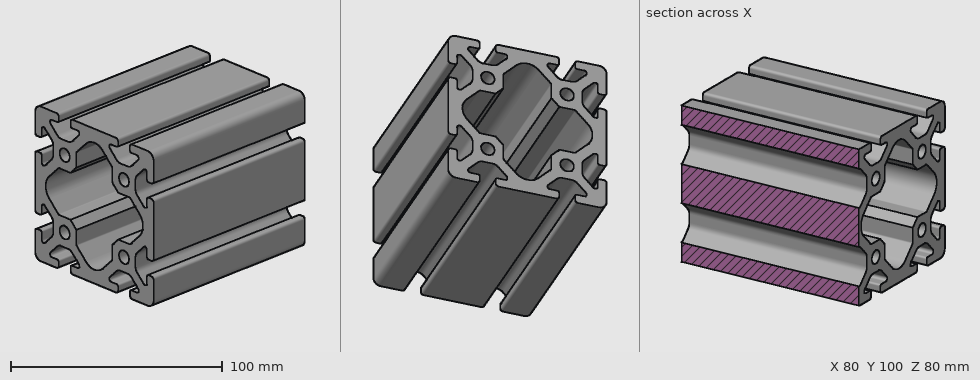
import math

import cadquery as cq

side = 80.0
length = 100.0
corner_radius = 4.0

slot_pitch = 40.0
hole_diameter = 6.8

mouth_width = 8.0
lip_thickness = 4.5
lip_radius = 1.0
mouth_radius = 1.5
slot_depth = 12.3
floor_width = 7.9
tip_radius = 1.3
floor_radius = 4.0

wall_thickness = 7.2
boss_width = 15.8
boss_chamfer = 4.0
peak_radius = 8.0
root_radius = 1.0

pick_margin = 0.01
half_side = side / 2
half_pitch = slot_pitch / 2
slot_offsets = (-half_pitch, half_pitch)


def extrude_outline(points):
    """Extrude a closed XZ outline over the full length along +Y."""
    return cq.Workplane("XZ").polyline(points).close().extrude(-length)


def round_edges(body, places, radius):
    """Round the lengthwise edges that pass through the given XZ places."""
    for x, z in places:
        picker = cq.selectors.BoxSelector(
            (x - pick_margin, -pick_margin, z - pick_margin),
            (x + pick_margin, length + pick_margin, z + pick_margin),
        )
        body = body.edges("|Y").edges(picker).fillet(radius)
    return body


def mirrored(points):
    """Close a right-hand half outline with its mirror image about X = 0."""
    return points + [(-x, z) for x, z in reversed(points)]


def make_slot():
    """One T-slot, centred on X = 0 and open at the top face."""
    lip_z = half_side - lip_thickness
    floor_z = half_side - slot_depth
    floor_to_lip = lip_z - floor_z
    mouth_x = mouth_width / 2
    floor_x = floor_width / 2
    tip_x = floor_x + floor_to_lip

    mouth_edge = (mouth_x, lip_z)
    tip = (tip_x, lip_z)
    floor_edge = (floor_x, floor_z)
    half = [(mouth_x, half_side), mouth_edge, tip, floor_edge]

    slot = extrude_outline(mirrored(half))
    slot = round_edges(slot, mirrored([mouth_edge]), lip_radius)
    slot = round_edges(slot, mirrored([tip]), tip_radius)
    return round_edges(slot, mirrored([floor_edge]), floor_radius)


def quarter_turned(points):
    """Repeat a run of outline points clockwise around all four sides."""
    outline = list(points)
    for _ in range(3):
        points = [(z, -x) for x, z in points]
        outline += points
    return outline


def make_cavity():
    """The central opening between the four screw bosses."""
    peak_z = half_side - wall_thickness + (math.sqrt(2) - 1) * peak_radius
    boss_face = half_pitch - boss_width / 2
    chamfer_end = boss_face + boss_chamfer
    flank_start = peak_z - boss_face

    peak = (0, peak_z)
    root_right = (boss_face, flank_start)
    root_left = (-boss_face, flank_start)
    boss_corners = [(boss_face, chamfer_end), (chamfer_end, boss_face)]
    cavity = extrude_outline(quarter_turned([root_left, peak, root_right] + boss_corners))
    cavity = round_edges(cavity, quarter_turned([peak]), peak_radius)
    return round_edges(cavity, quarter_turned([root_left, root_right]), root_radius)


def add_slots(body):
    """Cut the T-slots of all four sides and round the mouths' outer edges."""
    slot = make_slot()
    mouth_edges = []
    for offset in slot_offsets:
        shifted = slot.translate((offset, 0, 0))
        for quarter in range(4):
            angle = 90 * quarter
            body = body.cut(shifted.rotate((0, 0, 0), (0, 1, 0), angle))
        for edge in (-mouth_width / 2, mouth_width / 2):
            mouth_edges.append((offset + edge, half_side))
    return round_edges(body, quarter_turned(mouth_edges), mouth_radius)


def add_screw_channels(body):
    """Bore the round channels through the four bosses."""
    centres = [(x, z) for x in slot_offsets for z in slot_offsets]
    channels = cq.Workplane("XZ").pushPoints(centres).circle(hole_diameter / 2).extrude(-length)
    return body.cut(channels)


bar = cq.Workplane("XZ").rect(side, side).extrude(-length)
bar = bar.edges("|Y").fillet(corner_radius)
bar = bar.cut(make_cavity())
bar = add_slots(bar)
result = add_screw_channels(bar)